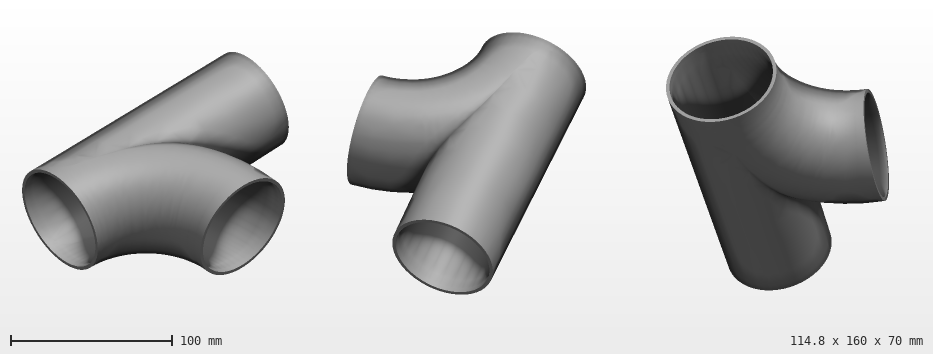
import cadquery as cq

run_length = 160.0
inlet_diameter = 70.0
outlet_diameter = 66.2
wall = 2.2
bend_radius = 79.8
bend_angle = 90.0

inlet_radius = inlet_diameter / 2
outlet_radius = outlet_diameter / 2


def tapered_run(inset):
    """Solid cone along +Y, with both end radii reduced by inset."""
    profile = [
        (0, 0),
        (inlet_radius - inset, 0),
        (outlet_radius - inset, run_length),
        (0, run_length),
    ]
    return cq.Workplane("XY").polyline(profile).close().revolve(360, (0, 0), (0, 1))


def elbow(inset):
    """Solid quarter bend from the inlet at Y = 0 towards +X, reduced by inset."""
    return (
        cq.Workplane("XZ")
        .circle(inlet_radius - inset)
        .revolve(bend_angle, (bend_radius, 1.6), (bend_radius, 0))
    )


def branch_body(inset):
    """Run and elbow merged where they share the inlet."""
    return tapered_run(inset).union(elbow(inset))


result = branch_body(0).cut(branch_body(wall))